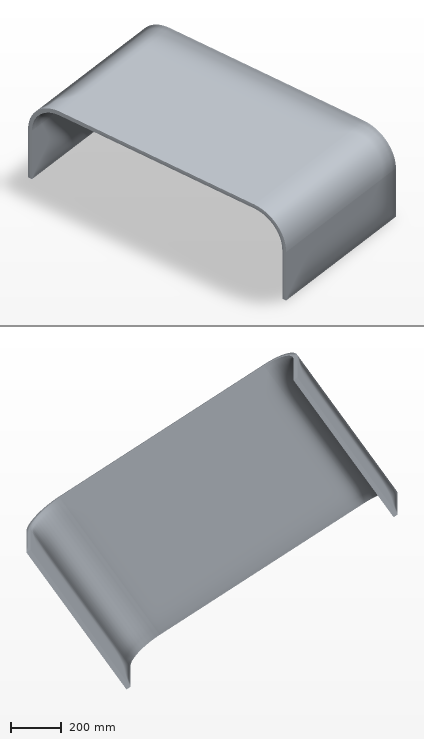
import cadquery as cq

length = 1300.0
depth = 700.0
height = 400.0

thickness = 20.0
outer_radius = 160.0
inner_radius = outer_radius - thickness


def rounded_block(block_length, block_height, bend_radius):
    """Block standing on Z = 0 with its two upper long edges rounded."""
    block = cq.Workplane("XY").box(block_length, depth, block_height, centered=(True, True, False))
    return block.edges("|Y and >Z").fillet(bend_radius)


outer_block = rounded_block(length, height, outer_radius)
inner_block = rounded_block(length - 2 * thickness, height - thickness, inner_radius)

result = outer_block.cut(inner_block)